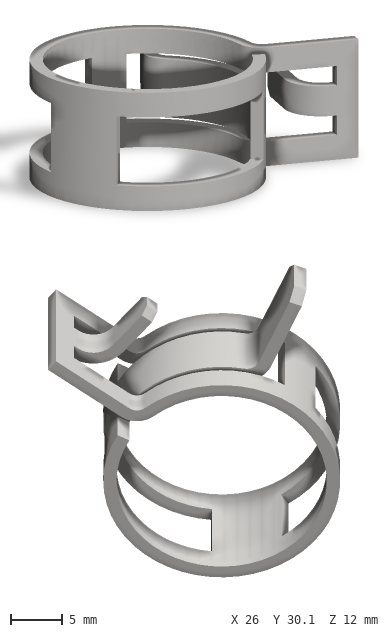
import cadquery as cq
import math

outer_radius = 11.53
thickness = 1.3
inner_radius = outer_radius - thickness
band_width = 12.0
window_width = 7.0
tongue_width = 5.9

arm_angle = 52.9
bridge_start = 23.0
bridge_end = 43.2
front_bridge_half_angle = 19.8

arm_tip_radius = 21.55
arm_bend_inner = 1.2
arm_bend_outer = arm_bend_inner + thickness
arm_window_end = 19.32
tongue_corner = 1.2

hook_width = 3.05
hook_corner = 0.8
hook_bend_inner = 2.4
hook_bend_outer = hook_bend_inner + thickness
hook_outer_face = 15.15
hook_reach = 9.05

bend_center_radius = inner_radius + arm_bend_outer
bend_turn = math.degrees(math.asin(arm_bend_outer / bend_center_radius))
ring_start = arm_angle + bend_turn


def polar(radius, angle):
    """Point at a radius and an angle in degrees."""
    return (radius * math.cos(math.radians(angle)), radius * math.sin(math.radians(angle)))


def plate(outline, width):
    """Closed outline extruded evenly about the mid plane Z = 0."""
    return outline.close().extrude(width / 2, both=True)


def ring_sector(start, end, width):
    """Piece of the ring between two angles."""
    middle = (start + end) / 2
    outline = (
        cq.Workplane("XY")
        .moveTo(*polar(inner_radius, start))
        .lineTo(*polar(outer_radius, start))
        .threePointArc(polar(outer_radius, middle), polar(outer_radius, end))
        .lineTo(*polar(inner_radius, end))
        .threePointArc(polar(inner_radius, middle), polar(inner_radius, start))
    )
    return plate(outline, width)


def along_arm(shape):
    """Turn a shape drawn along +X into the direction of the right arm."""
    return shape.rotate((0, 0, 0), (0, 0, 1), arm_angle)


def arm(end_radius, width, tip_corner=0):
    """Bend and straight arm, up to a distance from the ring axis; the tip corners may be cut off."""
    bend_x = bend_center_radius * math.cos(math.radians(bend_turn))
    bend_y = arm_bend_outer
    arc_end = bend_turn - 180
    arc_middle = (arc_end - 90) / 2

    def on_bend(radius, angle):
        x, y = polar(radius, angle)
        return (bend_x + x, bend_y + y)

    outline = (
        cq.Workplane("XY")
        .moveTo(end_radius, 0)
        .lineTo(bend_x, 0)
        .threePointArc(on_bend(arm_bend_outer, arc_middle), on_bend(arm_bend_outer, arc_end))
        .lineTo(*on_bend(arm_bend_inner, arc_end))
        .threePointArc(on_bend(arm_bend_inner, arc_middle), on_bend(arm_bend_inner, -90))
        .lineTo(end_radius, thickness)
    )
    leg = plate(outline, width)
    if tip_corner:
        leg = leg.faces(">X").edges("|Y").chamfer(tip_corner)
    return along_arm(leg)


def latch_hook():
    """Hook that leaves the end of the arm window, turns a right angle and points inwards."""
    center_x = hook_outer_face + hook_bend_outer
    center_y = hook_bend_outer
    hook_inner_face = hook_outer_face + thickness
    middle_x, middle_y = polar(1, -135)
    outer_middle = (center_x + hook_bend_outer * middle_x, center_y + hook_bend_outer * middle_y)
    inner_middle = (center_x + hook_bend_inner * middle_x, center_y + hook_bend_inner * middle_y)
    outline = (
        cq.Workplane("XY")
        .moveTo(arm_window_end, 0)
        .lineTo(center_x, 0)
        .threePointArc(outer_middle, (hook_outer_face, center_y))
        .lineTo(hook_outer_face, hook_reach)
        .lineTo(hook_inner_face, hook_reach)
        .lineTo(hook_inner_face, center_y)
        .threePointArc(inner_middle, (center_x, thickness))
        .lineTo(arm_window_end, thickness)
    )
    hook = plate(outline, hook_width).faces(">Y").edges("|X").chamfer(hook_corner)
    return along_arm(hook)


def band():
    """Full-width strip: most of the ring and the right arm, with its windows and hook."""
    strip = ring_sector(ring_start, 360 + bridge_end, band_width).union(arm(arm_tip_radius, band_width))
    windows = [
        (ring_start, 180 - bridge_end),
        (180 - bridge_start, 270 - front_bridge_half_angle),
        (270 + front_bridge_half_angle, 360 + bridge_start),
    ]
    for start, end in windows:
        strip = strip.cut(ring_sector(start, end, window_width))
    strip = strip.cut(arm(arm_window_end, window_width))
    return strip.union(latch_hook())


def tongue():
    """Narrow strip that continues the ring through the top window and out as the left arm."""
    strip = ring_sector(bridge_end, 180 - ring_start, tongue_width)
    left_arm = arm(arm_tip_radius, tongue_width, tongue_corner).mirror("YZ")
    return strip.union(left_arm)


result = band().union(tongue())